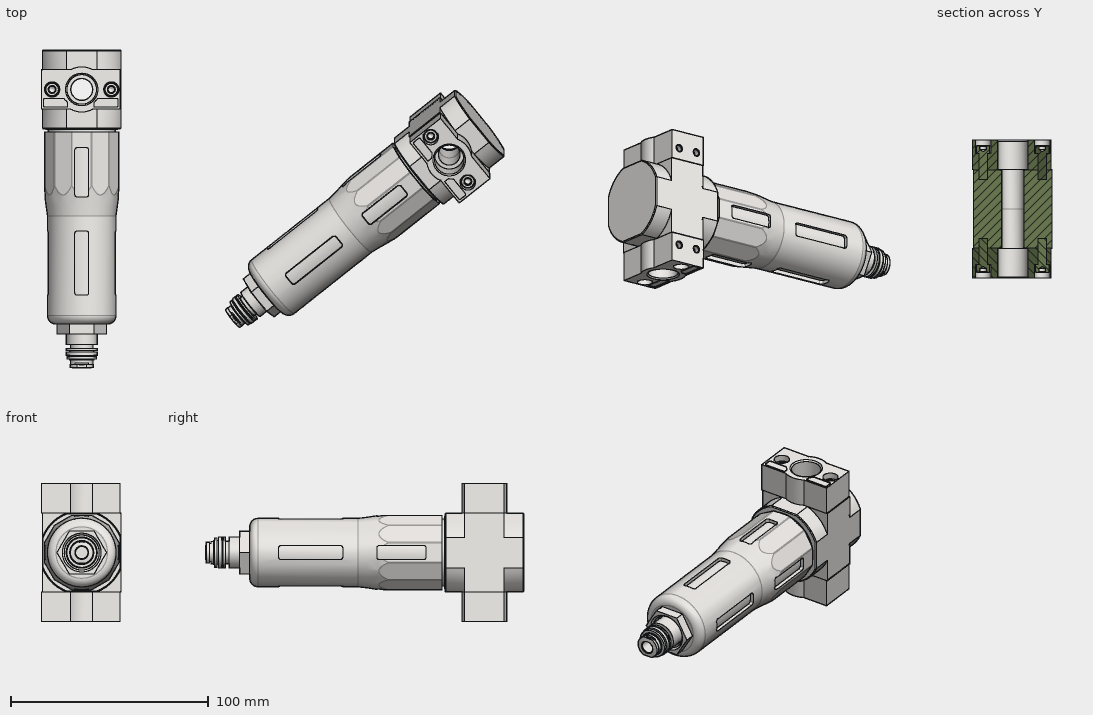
import cadquery as cq
import math


body_width = 40.0
body_half = body_width / 2
band_depth = 20.0
corner_radius = 21.4
end_chamfer = 0.5
port_bore = 11.0
lip_radius = 18.2
lip_height = 0.3

overall_height = 70.0
flange_height = (overall_height - body_width) / 2
flange_top = overall_height / 2
flange_width = body_width
flange_shift = -0.5
boss_radius = 11.5
port_thread = 15.0
port_mouth = 16.5

screw_offset = 15.0
screw_bore = 7.7
screw_bore_depth = 6.8

side_hole_y = 5.5
side_hole_z = 26.0
side_hole_mouth = 4.0
side_hole_bore = 3.2
side_hole_depth = 3.2
drill_angle = 118

label_length = 12.0
label_width = 4.3
label_corner_cut = 2.0
label_radius = 0.6
label_depth = 0.3
label_outer_x = 18.8
label_front_y = -8.9

head_diameter = 7.0
head_top_diameter = 6.3
head_height = 3.9
head_top_chamfer = (head_diameter - head_top_diameter) / 2
shank_diameter = 4.0
shank_reach = 4.8
socket_mouth = 4.0
socket_bore = 3.2
socket_depth = 2.0

guard_back = -21.4
grip_end = -49.0
taper_end = -64.1
guard_front = -118.8
grip_sides = 12
grip_half_width = 18.8
grip_land = 0.5
grip_half_flat = grip_half_width * math.tan(math.pi / grip_sides) - grip_land / 2
grip_radius = math.hypot(grip_half_width, grip_half_flat)
guard_radius = 17.4
guard_rounding = 4.3
hex_sides = 6
hex_flats = 21.7
hex_front = -123.8
hex_bore = 17.7
hex_mouth = 19.6

window_width = 7.1
window_radius = 1.3
windows = ((-29.5, -54.5), (-71.7, -104.2))

bowl_head_radius = 17.0
bowl_radius = 15.5
bowl_taper_start = -55.5
bowl_front = -112.7

overall_length = 161
drain_tip = body_half - overall_length
drain_diameter = 15.8
drain_engagement = 4.8
drain_back = bowl_front + drain_engagement
drain_bore = 6.3
drain_mouth = 7.0
drain_bore_depth = 6.5
tip_length = 2.0
drain_steps = (
    (11.9, 11.6),
    (10.0, 15.8),
    (8.9, 12.2),
    (8.2, 15.8),
    (6.5, 12.2),
    (5.8, 15.0),
    (4.5, 12.2),
    (4.0, 11.5),
    (tip_length, 11.8),
)
tip_crown = 0.3
tip_flats = 10.6
key_flats = 9.2
key_length = 0.6
tip_notch_width = 2.3
tip_notch_length = 0.5
tip_notch_floors = 9.7


def y_cylinder(radius, y_back, y_front):
    """Cylinder on the long axis, from y_back forwards to y_front."""
    return cq.Workplane("XZ", origin=(0, y_back, 0)).circle(radius).extrude(y_back - y_front)


def y_polygon(sides, across_flats, y_back, y_front):
    """Prism on the long axis with flats facing +Z and -Z."""
    corner_diameter = across_flats / math.cos(math.pi / sides)
    flat_up = 180 / sides - 90
    prism = cq.Workplane("XZ", origin=(0, y_back, 0)).polygon(sides, corner_diameter)
    return prism.extrude(y_back - y_front).rotate((0, 0, 0), (0, 1, 0), flat_up)


def drilled_hole(mouth, bore, depth):
    """Cutter pointing down from the origin: chamfered mouth, bore and drill-point bottom."""
    chamfer = (mouth - bore) / 2
    point = bore / 2 / math.tan(math.radians(drill_angle / 2))
    outline = [
        (0, 0), (mouth / 2, 0), (bore / 2, -chamfer), (bore / 2, -depth), (0, -depth - point),
    ]
    return cq.Workplane("XZ").polyline(outline).close().revolve(360, (0, 0, 0), (0, 1, 0))


def chamfer_cone(mouth, bore, center, inward):
    """Cutter that chamfers the mouth of a round hole; center is the middle of the mouth."""
    depth = (mouth - bore) / 2
    cone = cq.Solid.makeCone(mouth / 2, bore / 2, depth, cq.Vector(*center), cq.Vector(*inward))
    return cq.Workplane(cone)


def make_housing():
    """Square and round main body with the vertical port and the screw holes."""
    block = cq.Workplane("XY").box(body_width, body_width, body_width)
    block = block.faces("<Y or >Y").chamfer(end_chamfer)
    round_body = y_cylinder(corner_radius, body_half, -body_half)
    round_body = round_body.faces("<Y or >Y").chamfer(end_chamfer)
    band = cq.Workplane("XY").box(body_width, band_depth, body_width)
    housing = block.intersect(round_body).union(band)
    housing = housing.union(y_cylinder(lip_radius, 0, -body_half - lip_height))
    port = cq.Workplane("XY").circle(port_bore / 2).extrude(body_half, both=True)
    housing = housing.cut(port)
    for x in (-screw_offset, screw_offset):
        for end in (1, -1):
            face = cq.Workplane("XY", origin=(x, 0, end * body_half))
            housing = housing.cut(face.circle(shank_diameter / 2).extrude(-end * shank_reach))
    return housing


def make_label(side):
    """Shallow label recess beside the port, on the side given by the sign of X."""
    outer = side * label_outer_x
    inner = side * (label_outer_x - label_length)
    back = label_front_y + label_width
    outline = [
        (outer, label_front_y),
        (outer, back),
        (inner + side * label_corner_cut, back),
        (inner, back - label_corner_cut),
        (inner, label_front_y),
    ]
    label = cq.Workplane("XY", origin=(flange_shift, 0, flange_top - label_depth))
    label = label.polyline(outline).close().extrude(label_depth)
    return label.edges("|Z").edges(">X" if side > 0 else "<X").fillet(label_radius)


def make_flange():
    """Upper port flange; the lower one is its mirror image."""
    base = cq.Workplane("XY", origin=(0, 0, body_half))
    flange = base.center(flange_shift, 0).rect(flange_width, band_depth).extrude(flange_height)
    flange = flange.union(base.circle(boss_radius).extrude(flange_height))
    port = base.circle(port_thread / 2).extrude(flange_height)
    flange = flange.cut(port)
    flange = flange.cut(chamfer_cone(port_mouth, port_thread, (0, 0, flange_top), (0, 0, -1)))
    for x in (-screw_offset, screw_offset):
        flange = flange.cut(base.center(x, 0).circle(shank_diameter / 2).extrude(flange_height))
        seat = cq.Workplane("XY", origin=(x, 0, flange_top - screw_bore_depth))
        flange = flange.cut(seat.circle(screw_bore / 2).extrude(screw_bore_depth))
    side_hole = drilled_hole(side_hole_mouth, side_hole_bore, side_hole_depth)
    side_hole = side_hole.rotate((0, 0, 0), (0, 1, 0), -90)
    side_x = flange_shift - flange_width / 2
    for y in (-side_hole_y, side_hole_y):
        flange = flange.cut(side_hole.translate((side_x, y, side_hole_z)))
    for side in (-1, 1):
        flange = flange.cut(make_label(side))
    return flange


def make_screw(x):
    """Socket screw of the upper flange."""
    seat_z = flange_top - screw_bore_depth
    screw = cq.Workplane("XY", origin=(x, 0, seat_z)).circle(head_diameter / 2).extrude(head_height)
    screw = screw.faces(">Z").chamfer(head_top_chamfer)
    shank_bottom = body_half - shank_reach
    shank = cq.Workplane("XY", origin=(x, 0, shank_bottom)).circle(shank_diameter / 2)
    screw = screw.union(shank.extrude(seat_z - shank_bottom))
    socket = drilled_hole(socket_mouth, socket_bore, socket_depth)
    return screw.cut(socket.translate((x, 0, seat_z + head_height)))


def bowl_form(back):
    """Outside of the bowl, starting at the given back end; also the cavity of the guard."""
    outline = [
        (0, back),
        (bowl_head_radius, back),
        (bowl_head_radius, bowl_taper_start),
        (bowl_radius, taper_end),
        (bowl_radius, bowl_front),
        (0, bowl_front),
    ]
    return cq.Workplane("XY").polyline(outline).close().revolve(360, (0, 0, 0), (0, 1, 0))


def make_bowl():
    """Bowl inside the guard; its back end shows as a collar between housing and guard."""
    bowl = bowl_form(-body_half - lip_height)
    return bowl.cut(y_cylinder(drain_diameter / 2, drain_back, bowl_front))


def make_guard():
    """Guard sleeve with grip flats, windows and a hexagon at the front."""
    outline = [
        (0, guard_back),
        (grip_radius, guard_back),
        (grip_radius, grip_end),
        (guard_radius, taper_end),
        (guard_radius, guard_front),
        (0, guard_front),
    ]
    guard = cq.Workplane("XY").polyline(outline).close().revolve(360, (0, 0, 0), (0, 1, 0))
    guard = guard.faces("<Y").edges().fillet(guard_rounding)
    guard = guard.intersect(y_polygon(grip_sides, 2 * grip_half_width, guard_back, guard_front))
    guard = guard.union(y_polygon(hex_sides, hex_flats, guard_front, hex_front))
    guard = guard.cut(bowl_form(guard_back))
    for back, front in windows:
        window = cq.Workplane("XY", origin=(0, (back + front) / 2, 0))
        window = window.rect(window_width, back - front).extrude(grip_radius, both=True)
        window = window.edges("|Z").fillet(window_radius)
        guard = guard.cut(window).cut(window.rotate((0, 0, 0), (0, 1, 0), 90))
    recess = y_cylinder(hex_bore / 2, guard_front, hex_front)
    mouth = chamfer_cone(hex_mouth, hex_bore, (0, hex_front, 0), (0, 1, 0))
    guard = guard.cut(recess).cut(mouth)
    return guard.cut(y_cylinder(drain_diameter / 2, bowl_front, guard_front))


def cut_z_flats(drain, across, width, distance, length):
    """Trim the drain to the given Z size, over a length that starts a distance behind the tip."""
    y_middle = drain_tip + distance + length / 2
    for side in (1, -1):
        z_middle = side * (across / 2 + drain_diameter / 2)
        cutter = cq.Workplane("XY").box(width, length, drain_diameter)
        drain = drain.cut(cutter.translate((0, y_middle, z_middle)))
    return drain


def make_drain():
    """Ribbed drain nozzle held in the bowl and guard."""
    drain = y_cylinder(drain_diameter / 2, drain_back, drain_tip + drain_steps[0][0])
    ends = [distance for distance, _ in drain_steps[1:]] + [0]
    for (start, diameter), end in zip(drain_steps, ends):
        drain = drain.union(y_cylinder(diameter / 2, drain_tip + start, drain_tip + end))
    tip_radius = drain_steps[-1][1] / 2
    rim = tip_radius - drain_mouth / 2
    drain = drain.faces("<Y").chamfer(tip_crown, rim)
    drain = drain.cut(y_cylinder(drain_bore / 2, drain_tip + drain_bore_depth, drain_tip))
    drain = drain.cut(chamfer_cone(drain_mouth, drain_bore, (0, drain_tip, 0), (0, 1, 0)))
    drain = cut_z_flats(drain, tip_flats, drain_diameter, 0, tip_length)
    drain = cut_z_flats(drain, key_flats, drain_diameter, tip_length, key_length)
    notch_start = tip_length - tip_notch_length
    return cut_z_flats(drain, tip_notch_floors, tip_notch_width, notch_start, tip_notch_length)


housing = make_housing()
bowl = make_bowl()
guard = make_guard()
drain = make_drain()
upper_flange = make_flange()
upper_screws = [make_screw(x) for x in (-screw_offset, screw_offset)]

bodies = [housing.val(), bowl.val(), guard.val(), drain.val()]
for body in [upper_flange, *upper_screws]:
    bodies.append(body.val())
    bodies.append(body.mirror("XY").val())

result = cq.Compound.makeCompound(bodies)